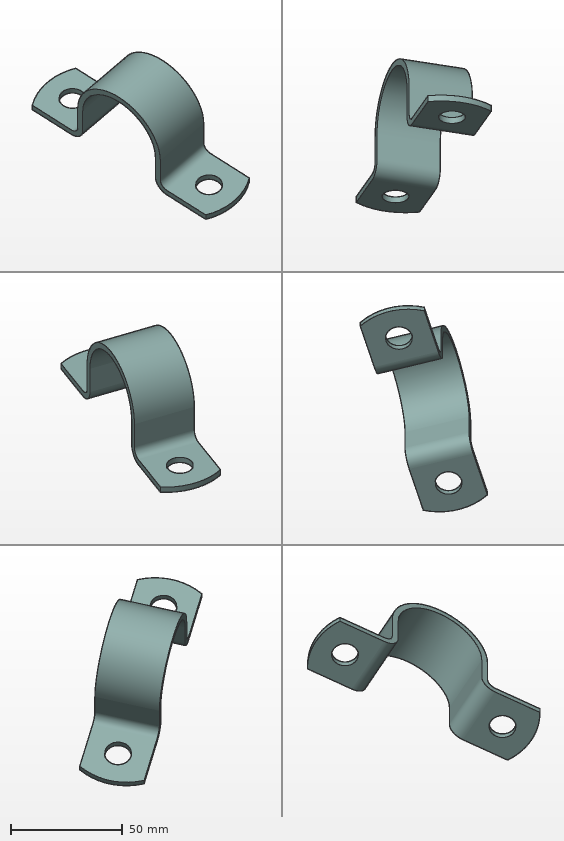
import cadquery as cq

length = 111.0
width = 30.0
height = 44.5

thickness = 3.0
saddle_outer_radius = 24.5
bend_inner_radius = 4.0

hole_diameter = 12.0
hole_spacing = 81.0
end_radius = width

saddle_inner_radius = saddle_outer_radius - thickness
bend_center_x = saddle_outer_radius + bend_inner_radius
bend_center_z = thickness + bend_inner_radius
saddle_center_z = height - saddle_outer_radius
half_length = length / 2


def make_strip():
    """Omega-shaped strip, centred on Y, with its feet resting on Z = 0."""
    return (
        cq.Workplane("XZ")
        .moveTo(-half_length, thickness)
        .lineTo(-bend_center_x, thickness)
        .tangentArcPoint((-saddle_outer_radius, bend_center_z), relative=False)
        .lineTo(-saddle_outer_radius, saddle_center_z)
        .threePointArc((0, height), (saddle_outer_radius, saddle_center_z))
        .lineTo(saddle_outer_radius, bend_center_z)
        .tangentArcPoint((bend_center_x, thickness), relative=False)
        .lineTo(half_length, thickness)
        .lineTo(half_length, 0)
        .lineTo(bend_center_x, 0)
        .tangentArcPoint((saddle_inner_radius, bend_center_z), relative=False)
        .lineTo(saddle_inner_radius, saddle_center_z)
        .threePointArc((0, height - thickness), (-saddle_inner_radius, saddle_center_z))
        .lineTo(-saddle_inner_radius, bend_center_z)
        .tangentArcPoint((-bend_center_x, 0), relative=False)
        .lineTo(-half_length, 0)
        .close()
        .extrude(width / 2, both=True)
    )


def make_end_envelope():
    """Block whose two ends are arcs, used to round the ends of the feet."""
    end_sagitta = end_radius - (end_radius**2 - (width / 2) ** 2) ** 0.5
    corner_x = half_length - end_sagitta
    half_width = width / 2
    return (
        cq.Workplane("XY")
        .moveTo(-corner_x, -half_width)
        .lineTo(corner_x, -half_width)
        .threePointArc((half_length, 0), (corner_x, half_width))
        .lineTo(-corner_x, half_width)
        .threePointArc((-half_length, 0), (-corner_x, -half_width))
        .close()
        .extrude(height)
    )


mounting_holes = (
    cq.Workplane("XY")
    .pushPoints([(-hole_spacing / 2, 0), (hole_spacing / 2, 0)])
    .circle(hole_diameter / 2)
    .extrude(thickness)
)

result = make_strip().intersect(make_end_envelope()).cut(mounting_holes)